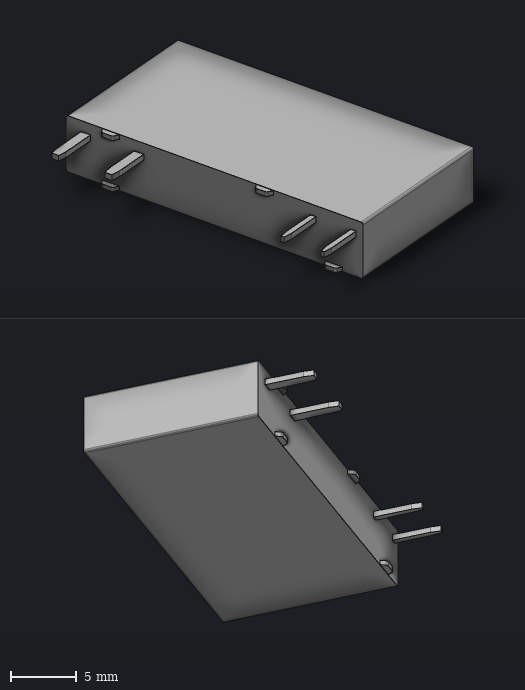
import cadquery as cq

length = 28.0
height = 4.95
overall_depth = 18.45
pin_length = 3.98
depth = overall_depth - pin_length
edge_radius = 0.2

pin_thickness = 0.5
pin_z = 1.25
pin_taper_length = 0.8
pin_tip_inset = 0.1
wide_pin = 0.9
narrow_pin = 0.5
pins = [(-12.12, wide_pin), (-7.1, wide_pin), (9.3, narrow_pin), (13.08, narrow_pin)]

foot_height = 0.5
foot_base_width = 1.65
foot_tip_width = 1.0
foot_thickness = 0.4
foot_inset = 0.03
foot_corner_radius = 0.25
upper_foot_z = (height - foot_thickness) / 2 - foot_inset
feet = [
    (-9.77, upper_foot_z),
    (4.73, upper_foot_z),
    (-9.77, -upper_foot_z),
    (11.23, -upper_foot_z),
]


def make_case():
    """Box from Y=0 to Y=depth, rounded everywhere except around the pin face."""
    box = cq.Workplane("XY").box(length, depth, height, centered=(True, False, True))
    return box.edges("|Y or >Y").fillet(edge_radius)


def make_pin(x, width):
    half_width = width / 2
    half_tip = half_width - pin_tip_inset
    taper_start = pin_taper_length - pin_length
    return (
        cq.Workplane("XY", origin=(x, 0, pin_z))
        .moveTo(-half_width, 0)
        .lineTo(-half_width, taper_start)
        .lineTo(-half_tip, -pin_length)
        .lineTo(half_tip, -pin_length)
        .lineTo(half_width, taper_start)
        .lineTo(half_width, 0)
        .close()
        .extrude(pin_thickness / 2, both=True)
    )


def make_foot(x, z):
    half_base = foot_base_width / 2
    half_tip = foot_tip_width / 2
    foot = (
        cq.Workplane("XY", origin=(x, 0, z))
        .moveTo(-half_base, 0)
        .lineTo(-half_tip, -foot_height)
        .lineTo(half_tip, -foot_height)
        .lineTo(half_base, 0)
        .close()
        .extrude(foot_thickness / 2, both=True)
    )
    return foot.faces("<Y").edges("|Z").fillet(foot_corner_radius)


result = make_case()
for pin_x, pin_width in pins:
    result = result.union(make_pin(pin_x, pin_width))
for foot_x, foot_z in feet:
    result = result.union(make_foot(foot_x, foot_z))